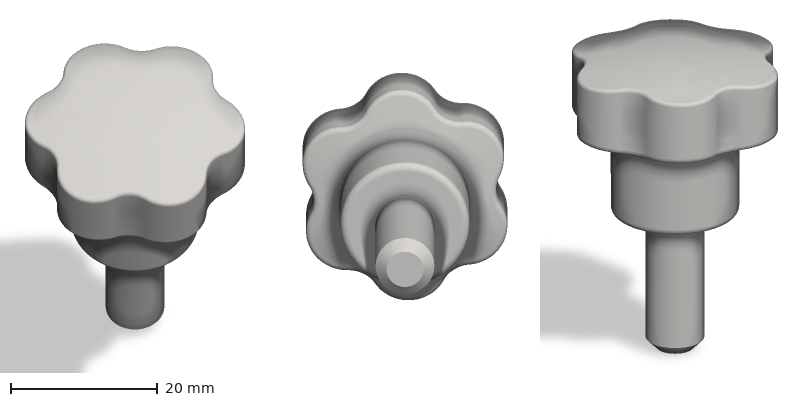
import cadquery as cq
import math

height = 43.65
lobe_count = 6
lobe_center_radius = 9.6
tip_radius = 30.0 / 2
lobe_radius = tip_radius - lobe_center_radius
valley_distance = 12.4
pitch = 360 / lobe_count

dome_radius = 74.2
underside_slope = math.tan(math.radians(12.0))
rim_radius = 14.85
underside_rim_z = 33.4
top_edge_fillet = 0.5
bottom_edge_fillet = 0.75

hub_radius = 17.5 / 2
hub_base_z = 20.0
hub_edge_fillet = 1.0
neck_fillet = 1.3
stem_radius = 8.0 / 2
tip_chamfer = 1.5
root_fillet = 0.2


def polar(radius, angle):
    """Point at the given radius and angle in degrees."""
    a = math.radians(angle)
    return radius * math.cos(a), radius * math.sin(a)


def lobed_outline():
    """Closed outline of convex lobes joined by tangent concave arcs."""
    lobe_x, lobe_y = polar(lobe_center_radius, pitch / 2)
    inset = valley_distance - lobe_radius
    valley_center = (lobe_x**2 + lobe_y**2 - inset**2) / (2 * (lobe_x - inset))
    valley_radius = valley_center - valley_distance
    share = lobe_radius / (lobe_radius + valley_radius)
    joint_x = lobe_x + share * (valley_center - lobe_x)
    joint_y = lobe_y * (1 - share)
    joint_radius = math.hypot(joint_x, joint_y)
    joint_angle = math.degrees(math.atan2(joint_y, joint_x))

    outline = cq.Workplane("XY").moveTo(*polar(joint_radius, -joint_angle))
    for i in range(lobe_count):
        valley_angle = i * pitch
        lobe_angle = valley_angle + pitch / 2
        next_angle = valley_angle + pitch
        outline = outline.threePointArc(
            polar(valley_distance, valley_angle),
            polar(joint_radius, valley_angle + joint_angle),
        ).threePointArc(
            polar(tip_radius, lobe_angle),
            polar(joint_radius, next_angle - joint_angle),
        )
    return outline.close()


def make_head():
    """Lobed prism trimmed by a domed top and a conical underside."""
    trim_margin = 2.2
    trim_radius = tip_radius + trim_margin

    def dome_z(r):
        return height - dome_radius + math.sqrt(dome_radius**2 - r**2)

    apex_z = underside_rim_z - rim_radius * underside_slope
    envelope = (
        cq.Workplane("XZ")
        .moveTo(0, apex_z)
        .lineTo(trim_radius, apex_z + trim_radius * underside_slope)
        .lineTo(trim_radius, dome_z(trim_radius))
        .threePointArc((trim_radius / 2, dome_z(trim_radius / 2)), (0, height))
        .close()
        .revolve(360, (0, 0, 0), (0, 1, 0))
    )
    head = lobed_outline().extrude(height).intersect(envelope)
    head = head.faces(">Z").edges().fillet(top_edge_fillet)
    return head.faces("%CONE").edges().fillet(bottom_edge_fillet)


def make_hub():
    """Cylinder under the head, rounded at its lower edge."""
    hub = cq.Workplane("XY").workplane(offset=hub_base_z).circle(hub_radius)
    hub = hub.extrude(underside_rim_z - hub_base_z)
    return hub.faces("<Z").edges().fillet(hub_edge_fillet)


def make_stem():
    """Plain pin with a chamfered tip."""
    stem = cq.Workplane("XY").circle(stem_radius).extrude(hub_base_z)
    return stem.faces("<Z").chamfer(tip_chamfer)


def fillet_inner_corner(body, corner_radius, corner_z, fillet_radius):
    """Round the circular inner corner of the given radius at height corner_z."""
    margin = 0.15
    reach = corner_radius + margin
    corner = cq.selectors.BoxSelector(
        (-reach, -reach, corner_z - margin),
        (reach, reach, corner_z + margin),
        boundingbox=True,
    )
    return body.edges(corner).fillet(fillet_radius)


neck_z = underside_rim_z - (rim_radius - hub_radius) * underside_slope

result = make_head().union(make_hub())
result = fillet_inner_corner(result, hub_radius, neck_z, neck_fillet)
result = result.union(make_stem())
result = fillet_inner_corner(result, stem_radius, hub_base_z, root_fillet)